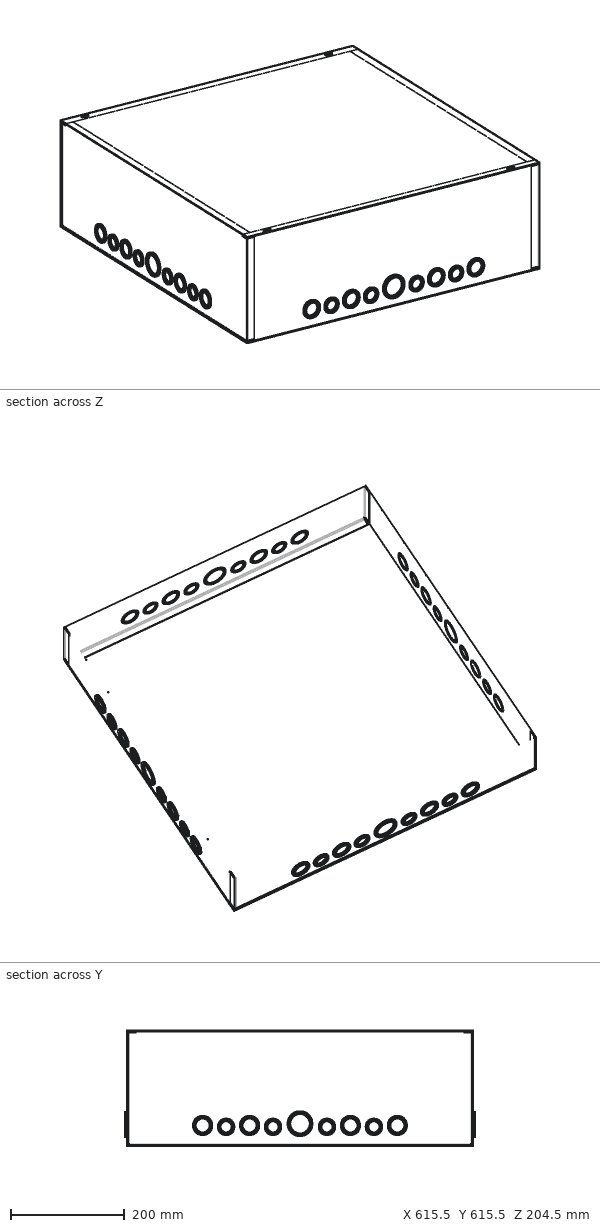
import cadquery as cq

overall_width = 615.5
overall_height = 204.5
ring_height = 2.9
box_width = overall_width - 2 * ring_height
half_width = box_width / 2

sheet = 1.55
cap_bend_radius = 3.0
flange_reach = 16.0

bottom_z = -overall_height / 2
cover_z = overall_height / 2 - sheet
floor_z = bottom_z + sheet
inside_half = half_width - sheet
flange_edge = half_width - flange_reach
corner_relief_z = cover_z - 3.0

keyhole_x = 297.0
keyhole_y = 254.0
keyhole_diameter = 10.0
keyhole_slot_width = 5.5
screw_hole_diameter = 4.0
keyhole_drop = 7.0

ring_band = 5.25
small_diameter = 29.5
medium_diameter = 34.5
large_diameter = 44.5
side_ring_base = 18.0
large_ring_rise = 38.0
knockout_pitch = 41.0
large_gap = 47.5
side_diameters = (small_diameter, medium_diameter, small_diameter, medium_diameter)


def box_between(x_range, y_range, z_range):
    """A box between the two coordinates given for each axis."""
    (x0, x1), (y0, y1), (z0, z1) = x_range, y_range, z_range
    return cq.Workplane("XY").box(x1 - x0, y1 - y0, z1 - z0, centered=False).translate((x0, y0, z0))


def ring_row(foot_z, inset, inner_y, outer_y):
    """The row of rings at the -Y wall, with both edges of each ring's band moved in by the inset."""
    places = [(0, foot_z + large_ring_rise, large_diameter)]
    for number, diameter in enumerate(side_diameters):
        distance = large_gap + number * knockout_pitch
        centre_z = foot_z + side_ring_base + diameter / 2
        places += [(side * distance, centre_z, diameter) for side in (-1, 1)]
    rings = cq.Workplane("XZ")
    for x, z, diameter in places:
        rings = rings.add(
            cq.Workplane("XZ", origin=(x, inner_y, z))
            .circle(diameter / 2 - inset)
            .circle(diameter / 2 - ring_band + inset)
            .extrude(inner_y - outer_y)
        )
    return rings.combine()


def emboss_rings(body, foot_z, angle):
    """Press a row of rings outward into the wall reached by turning the -Y wall by the angle."""
    face_y = -half_width - ring_height
    beads = ring_row(foot_z, 0, -inside_half, face_y)
    grooves = ring_row(foot_z, sheet, -inside_half, face_y + sheet)
    return body.union(turned(beads, angle)).cut(turned(grooves, angle))


def turned(body, angle):
    """The body turned about the vertical middle axis."""
    return body.rotate((0, 0, 0), (0, 0, 1), angle)


def make_wrapper():
    """Bottom and both X walls in one sheet, with flanges turned in under the cover."""
    full_length = (-half_width, half_width)
    wrapper = box_between(full_length, full_length, (bottom_z, cover_z))
    wrapper = wrapper.cut(
        box_between((-inside_half, inside_half), full_length, (floor_z, cover_z - sheet))
    )
    wrapper = wrapper.cut(
        box_between((-flange_edge, flange_edge), full_length, (cover_z - sheet, cover_z))
    )
    for x in (-keyhole_x, keyhole_x):
        for y in (-keyhole_y, keyhole_y):
            screw_hole = cq.Workplane("XY", origin=(x, y, cover_z - sheet)).circle(screw_hole_diameter / 2)
            wrapper = wrapper.cut(screw_hole.extrude(sheet))
    for angle in (-90, 90):
        wrapper = emboss_rings(wrapper, bottom_z, angle)
    return wrapper


def make_end_cap():
    """The -Y wall: a pan with flanges on all four sides and cleared corners, between the X walls."""
    y_range = (-half_width, -flange_edge)
    cap = box_between((-inside_half, inside_half), y_range, (floor_z, cover_z))
    cap = cap.edges("<Y and (|X or |Z)").edges("not >Z").fillet(cap_bend_radius)
    hollow = box_between(
        (-inside_half + sheet, inside_half - sheet),
        (-inside_half, -flange_edge),
        (floor_z + sheet, cover_z - sheet),
    )
    hollow = hollow.edges("<Y").edges("not >Z").fillet(cap_bend_radius - sheet)
    cap = cap.cut(hollow)
    clear_y = (-half_width + cap_bend_radius, -flange_edge)
    clear_z = (floor_z, floor_z + cap_bend_radius)
    for side in (-1, 1):
        outer_x = side * inside_half
        top_x = sorted((outer_x, side * flange_edge))
        bottom_x = sorted((outer_x, side * (inside_half - cap_bend_radius)))
        cap = cap.cut(box_between(top_x, y_range, (corner_relief_z, cover_z)))
        cap = cap.cut(box_between(bottom_x, clear_y, clear_z))
    return emboss_rings(cap, floor_z, 0)


def make_cover():
    """Flat square plate with a keyhole near each end of its two X edges."""
    cover = box_between(
        (-half_width, half_width), (-half_width, half_width), (cover_z, cover_z + sheet)
    )
    for x in (-keyhole_x, keyhole_x):
        for y in (-keyhole_y, keyhole_y):
            screw_seat = cq.Workplane("XY", origin=(x, y, cover_z)).circle(keyhole_slot_width / 2)
            slot = cq.Workplane("XY", origin=(x, y - keyhole_drop / 2, cover_z)).rect(
                keyhole_slot_width, keyhole_drop
            )
            entry = cq.Workplane("XY", origin=(x, y - keyhole_drop, cover_z)).circle(keyhole_diameter / 2)
            for outline in (screw_seat, slot, entry):
                cover = cover.cut(outline.extrude(sheet))
    return cover


wrapper = make_wrapper()
end_caps = [turned(make_end_cap(), angle) for angle in (0, 180)]
cover = make_cover()

result = cq.Compound.makeCompound([wrapper.val(), *[cap.val() for cap in end_caps], cover.val()])